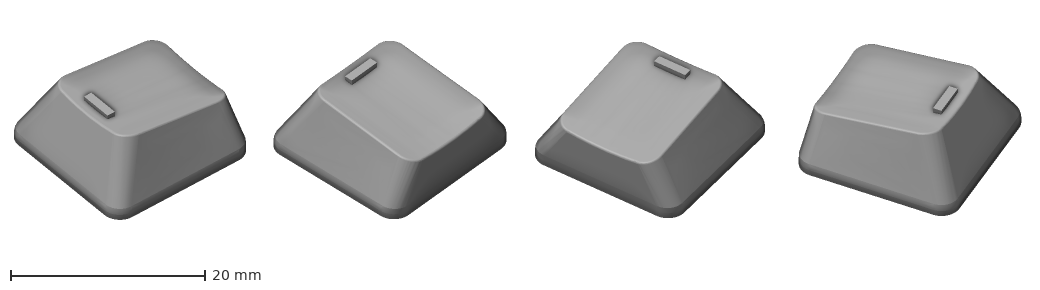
import cadquery as cq
import math

base_size = 18.16
base_corner_radius = 2.03
skirt_height = 0.67

crown_start_height = 1.35
side_blend_inset = 0.16
front_blend_inset = 0.18
back_blend_inset = 0.02
blend_middle_fraction = 0.25

tilt_angle = 7.0
blank_top_height = 7.54
blank_half_width = 5.7
blank_front_y = -5.21
blank_back_y = 8.59
blank_corner_radius = 1.87

dish_radius = 36.32
dish_bottom_height = 6.5
dish_length = 36.32
rim_fillet = 0.27

overall_height = 7.6
bar_length = 3.85
bar_width = 0.96
bar_center_y = -4.05
bar_root_depth = 1.09

legend_floor = 5.08
stroke_width = 0.62
bowl_center_x = -2.9
bowl_center_y = 4.05
bowl_outer_radius = 1.75
bowl_inner_radius = 1.16
stem_left_x = -4.34
stem_bottom_y = 4.75
flag_top_y = 7.05
flag_right_x = -1.47
legend_corner_radius = 0.16


def tilted_plane(height):
    """Plane falling toward +Y at the tilt of the top, crossing the Z axis at the given height."""
    slope = math.radians(tilt_angle)
    return cq.Plane(
        origin=(0, 0, height),
        xDir=(1, 0, 0),
        normal=(0, math.sin(slope), math.cos(slope)),
    )


def rounded_face(width, length, radius):
    """Sketch of a rounded rectangle centred on its origin."""
    return cq.Sketch().rect(width, length).vertices().fillet(radius)


def skirt_section(height, inset_fraction):
    """Rounded outline at the given height, drawn in by a fraction of the full blend insets."""
    side_inset = inset_fraction * side_blend_inset
    front_y = -base_size / 2 + inset_fraction * front_blend_inset
    back_y = base_size / 2 - inset_fraction * back_blend_inset
    outline = rounded_face(base_size - 2 * side_inset, back_y - front_y, base_corner_radius - side_inset)
    return outline.moved(cq.Location((0, (front_y + back_y) / 2, height)))


def blank_top_section():
    """Rounded outline on the tilted plane that closes the blank."""
    stretch = 1 / math.cos(math.radians(tilt_angle))
    length = (blank_back_y - blank_front_y) * stretch
    center_y = (blank_back_y + blank_front_y) / 2 * stretch
    outline = rounded_face(2 * blank_half_width, length, blank_corner_radius)
    return outline.moved(cq.Location(tilted_plane(blank_top_height)) * cq.Location((0, center_y, 0)))


def make_blank():
    """Straight skirt, curved blend and tapering crown."""
    skirt_outline = skirt_section(skirt_height, 0)
    blend_middle = skirt_section((skirt_height + crown_start_height) / 2, blend_middle_fraction)
    crown_outline = skirt_section(crown_start_height, 1)
    skirt = cq.Workplane("XY").placeSketch(skirt_section(0, 0)).extrude(skirt_height)
    blend = cq.Workplane("XY").placeSketch(skirt_outline, blend_middle, crown_outline).loft()
    crown = cq.Workplane("XY").placeSketch(crown_outline, blank_top_section()).loft(ruled=True)
    return skirt.union(blend).union(crown)


def cut_dish(blank):
    """Scoop the finger dish out of the top and round its rim."""
    axis_height = dish_bottom_height + dish_radius / math.cos(math.radians(tilt_angle))
    slope_direction = tilted_plane(axis_height).yDir
    axis_start = cq.Vector(0, 0, axis_height) - slope_direction * (dish_length / 2)
    scoop = cq.Solid.makeCylinder(dish_radius, dish_length, axis_start, slope_direction)
    return blank.cut(cq.Workplane(scoop)).faces(">Z").edges().fillet(rim_fillet)


def make_homing_bar():
    """Raised bar with a level top, its root buried in the cap."""
    return (
        cq.Workplane("XY", origin=(0, bar_center_y, overall_height - bar_root_depth))
        .rect(bar_length, bar_width)
        .extrude(bar_root_depth)
    )


def bowl_rise(radius, x):
    """Height of a bowl circle above the bowl centre at the given x."""
    return math.sqrt(radius**2 - (x - bowl_center_x) ** 2)


def make_legend_column():
    """Upright prism in the shape of the numeral."""
    half_stroke = stroke_width / 2
    stem_right_x = stem_left_x + stroke_width
    stem_middle_x = stem_left_x + half_stroke
    flag_bottom_y = flag_top_y - stroke_width
    flag_end_x = flag_right_x - half_stroke
    bowl_outer_point = (bowl_center_x + bowl_outer_radius, bowl_center_y)
    bowl_inner_point = (bowl_center_x + bowl_inner_radius, bowl_center_y)
    bowl_start_y = bowl_center_y + bowl_rise(bowl_outer_radius, stem_right_x)
    hook_outer_y = bowl_center_y - bowl_rise(bowl_outer_radius, stem_left_x)
    inner_rise = bowl_rise(bowl_inner_radius, stem_right_x)
    hook_top_y = 2 * bowl_center_y - stem_bottom_y
    outline = (
        cq.Workplane("XY", origin=(0, 0, legend_floor))
        .moveTo(stem_left_x, flag_top_y)
        .lineTo(flag_end_x, flag_top_y)
        .threePointArc((flag_right_x, flag_top_y - half_stroke), (flag_end_x, flag_bottom_y))
        .lineTo(stem_right_x, flag_bottom_y)
        .lineTo(stem_right_x, bowl_start_y)
        .threePointArc(bowl_outer_point, (stem_left_x, hook_outer_y))
        .lineTo(stem_left_x, hook_top_y)
        .threePointArc((stem_middle_x, hook_top_y + half_stroke), (stem_right_x, hook_top_y))
        .lineTo(stem_right_x, bowl_center_y - inner_rise)
        .threePointArc(bowl_inner_point, (stem_right_x, bowl_center_y + inner_rise))
        .lineTo(stem_right_x, stem_bottom_y)
        .threePointArc((stem_middle_x, stem_bottom_y - half_stroke), (stem_left_x, stem_bottom_y))
        .close()
    )
    column = outline.extrude(overall_height - legend_floor)
    middle_height = (overall_height + legend_floor) / 2
    for corner_x, corner_y in ((stem_left_x, flag_top_y), (stem_right_x, flag_bottom_y)):
        corner = cq.selectors.NearestToPointSelector((corner_x, corner_y, middle_height))
        column = column.edges("|Z").edges(corner).fillet(legend_corner_radius)
    return column


dished_cap = cut_dish(make_blank())
legend = dished_cap.intersect(make_legend_column())
cap = dished_cap.union(make_homing_bar()).cut(legend)

result = cq.Compound.makeCompound([cap.val(), legend.val()])